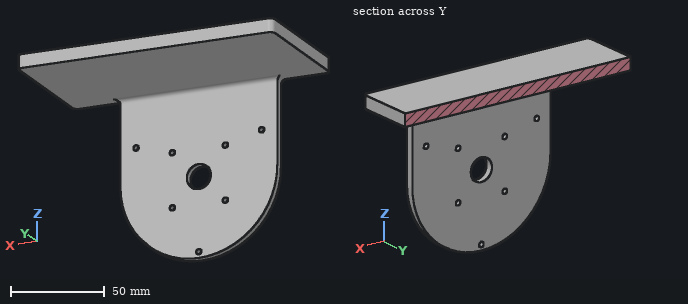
import cadquery as cq

plate_length = 150.0
plate_depth = 75.0
plate_thickness = 8.0
corner_radius = 3.0

overall_height = 103.5
web_thickness = 5.0
web_width = 92.0
web_radius = web_width / 2
axis_z = web_radius - overall_height
root_radius = 3.0

shaft_diameter = 14.0
screw_diameter = 3.0
motor_screw_pitch = 31.0
rim_circle_radius = 42.5
rim_screw_count = 3
rim_start_angle = 30.0


def make_plate():
    plate = cq.Workplane("XY").box(
        plate_length, plate_depth, plate_thickness, centered=(True, False, False)
    )
    return plate.edges("|Z").fillet(corner_radius).translate((0, 0, -plate_thickness))


def make_web():
    """Web with straight sides that run up through the full plate thickness."""
    return (
        cq.Workplane("XZ")
        .moveTo(-web_radius, 0)
        .lineTo(-web_radius, axis_z)
        .threePointArc((0, -overall_height), (web_radius, axis_z))
        .lineTo(web_radius, 0)
        .close()
        .extrude(-web_thickness)
    )


def fillet_root(body):
    """Fillet the inside corners where the sides and back of the web meet the plate."""
    margin = 0.2
    root_edges = cq.selectors.BoxSelector(
        (-web_radius - margin, -margin, -plate_thickness - margin),
        (web_radius + margin, web_thickness + margin, -plate_thickness + margin),
    )
    side_edges = body.edges("|Y").edges(root_edges)
    back_edge = body.edges("|X").edges(root_edges).edges(">Y")
    return body.newObject(side_edges.vals() + back_edge.vals()).fillet(root_radius)


def make_holes():
    depth = -web_thickness
    axis_plane = cq.Workplane("XZ", origin=(0, 0, axis_z))
    shaft = axis_plane.circle(shaft_diameter / 2).extrude(depth)
    motor_screws = (
        axis_plane.rect(motor_screw_pitch, motor_screw_pitch, forConstruction=True)
        .vertices()
        .circle(screw_diameter / 2)
        .extrude(depth)
    )
    rim_screws = (
        axis_plane.polarArray(rim_circle_radius, rim_start_angle, 360, rim_screw_count)
        .circle(screw_diameter / 2)
        .extrude(depth)
    )
    return shaft.add(motor_screws).add(rim_screws).combine()


bracket = fillet_root(make_plate().union(make_web()))
result = bracket.cut(make_holes())